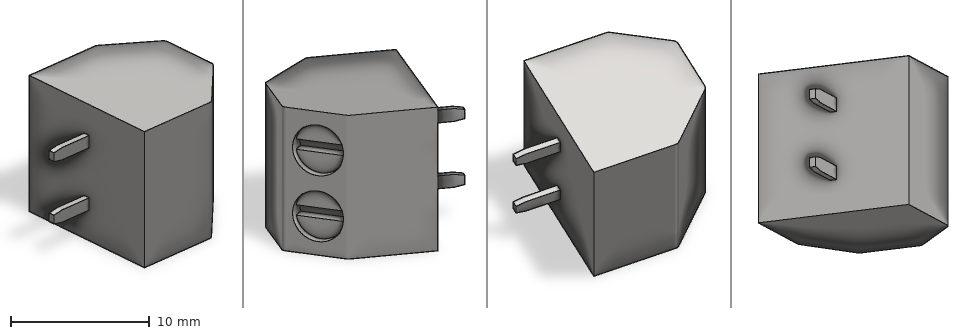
import cadquery as cq
import math

width = 12.0
depth = 10.8
height = 11.08
shoulder_y = 6.68
screw_face_angle = 55
plain_face_angle = 45
corner_radius = 0.5

pitch = 5.08
terminal_heights = (-pitch / 2, pitch / 2)

screw_diameter = 3.9
screw_y = 8.57
recess_depth = 0.65
slot_width = 0.8
slot_depth = 0.89

pin_length = 3.5
pin_width = 0.5
pin_height = 1.0
tip_length = 0.8
tip_height = 0.72

slant_rise = depth - shoulder_y
screw_angle = math.radians(screw_face_angle)
screw_face_run = slant_rise / math.tan(screw_angle)
plain_face_run = slant_rise / math.tan(math.radians(plain_face_angle))


def make_housing():
    outline = [
        (-width / 2, 0),
        (width / 2, 0),
        (width / 2, shoulder_y),
        (width / 2 - plain_face_run, depth),
        (-width / 2 + screw_face_run, depth),
        (-width / 2, shoulder_y),
    ]
    block = cq.Workplane("XY").polyline(outline).close().extrude(height / 2, both=True)
    return block.edges("|Z").edges(cq.selectors.BoxSelector(
        (-width, shoulder_y / 2, -height), (width, 2 * depth, height))).fillet(corner_radius)


def make_screw_recess(z):
    """Round recess with a deeper driver slot running across its floor."""
    screw_x = -width / 2 + (screw_y - shoulder_y) / math.tan(screw_angle)
    face = cq.Plane(
        origin=(screw_x, screw_y, z),
        xDir=(math.cos(screw_angle), math.sin(screw_angle), 0),
        normal=(-math.sin(screw_angle), math.cos(screw_angle), 0),
    )
    total_depth = recess_depth + slot_depth
    recess = cq.Workplane(face).circle(screw_diameter / 2).extrude(-recess_depth)
    slot = cq.Workplane(face).rect(screw_diameter, slot_width).extrude(-total_depth)
    bore = cq.Workplane(face).circle(screw_diameter / 2).extrude(-total_depth)
    return recess.union(slot.intersect(bore))


def make_pin(z):
    """Flat pin whose end tapers in Z only."""
    taper_y = tip_length - pin_length
    profile = [
        (0, z - pin_height / 2),
        (taper_y, z - pin_height / 2),
        (-pin_length, z - tip_height / 2),
        (-pin_length, z + tip_height / 2),
        (taper_y, z + pin_height / 2),
        (0, z + pin_height / 2),
    ]
    return cq.Workplane("YZ").polyline(profile).close().extrude(pin_width / 2, both=True)


result = make_housing()
for terminal_z in terminal_heights:
    result = result.cut(make_screw_recess(terminal_z))
    result = result.union(make_pin(terminal_z))